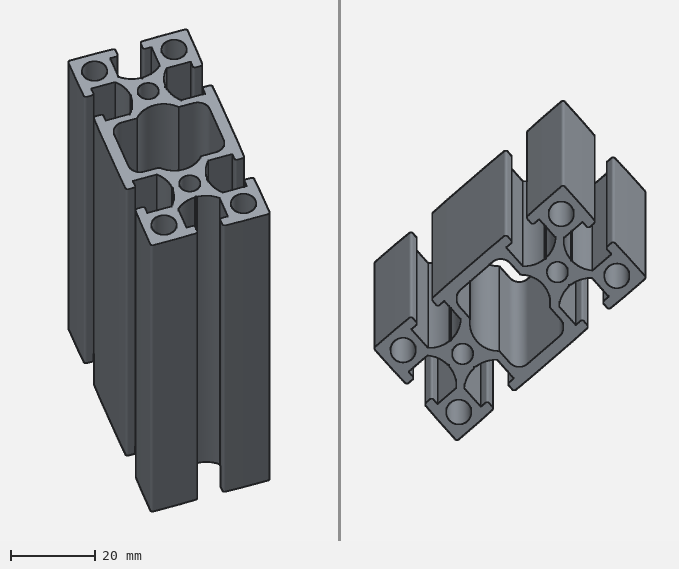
import cadquery as cq

WIDTH = 60.0
DEPTH = 30.0
LENGTH = 100.0
CORNER_RADIUS = 0.6

MOUTH_WIDTH = 6.3
LIP_THICKNESS = 2.5
LIP_OUTER_RADIUS = 0.6
LIP_INNER_RADIUS = 0.5
CHAMBER_WIDTH = 10.4
CHAMBER_WALL_DEPTH = 8.5
SLOT_DEPTH = 10.6

RELIEF_WIDTH = 16.3
RELIEF_DROP = 0.1

NOTCH_WIDTH = 0.6
NOTCH_DEPTH = 0.2

CAVITY_WIDTH = 16.0
CAVITY_HEIGHT = 24.0
CAVITY_RADIUS = 3.0
BOW_CHORD = 10.5
BOW_SPAN = 20.9

CORE_BORE = 5.0
CORNER_BORE = 6.0
CORNER_BORE_INSET = 5.0

CORE_X = (WIDTH - DEPTH) / 2


def lip_edges(y_min, y_max):
    """Selector for the lengthwise lip edges of an upright slot between two heights."""
    reach = MOUTH_WIDTH / 2 + LIP_OUTER_RADIUS
    return cq.selectors.BoxSelector((-reach, y_min, 0), (reach, y_max, LENGTH))


def make_slot():
    """Solid filling one T-slot, with the outer face at y = 0 and the floor below it."""
    mouth = MOUTH_WIDTH / 2
    chamber = CHAMBER_WIDTH / 2
    relief = RELIEF_WIDTH / 2
    notch = NOTCH_WIDTH / 2
    slot = (
        cq.Workplane("XY")
        .moveTo(-relief, 0)
        .lineTo(-mouth, -RELIEF_DROP)
        .lineTo(-mouth, -LIP_THICKNESS)
        .lineTo(-chamber, -LIP_THICKNESS)
        .lineTo(-chamber, -CHAMBER_WALL_DEPTH)
        .threePointArc((0, -SLOT_DEPTH), (chamber, -CHAMBER_WALL_DEPTH))
        .lineTo(chamber, -LIP_THICKNESS)
        .lineTo(mouth, -LIP_THICKNESS)
        .lineTo(mouth, -RELIEF_DROP)
        .lineTo(relief, 0)
        .lineTo(relief, LIP_THICKNESS)
        .lineTo(-relief, LIP_THICKNESS)
        .close()
        .extrude(LENGTH)
    )
    middle = -LIP_THICKNESS / 2
    slot = slot.edges("|Z").edges(lip_edges(middle, 0)).fillet(LIP_OUTER_RADIUS)
    slot = slot.edges("|Z").edges(lip_edges(-CHAMBER_WALL_DEPTH, middle)).fillet(LIP_INNER_RADIUS)
    floor_notch = (
        cq.Workplane("XY")
        .moveTo(-notch, NOTCH_DEPTH - SLOT_DEPTH)
        .lineTo(-notch, -SLOT_DEPTH)
        .lineTo(0, -SLOT_DEPTH - NOTCH_DEPTH)
        .lineTo(notch, -SLOT_DEPTH)
        .lineTo(notch, NOTCH_DEPTH - SLOT_DEPTH)
        .close()
        .extrude(LENGTH)
    )
    return slot.union(floor_notch)


def make_cavity():
    """Solid filling the central cavity: rounded rectangle plus the bowed pockets."""
    core = (
        cq.Workplane("XY")
        .rect(CAVITY_WIDTH, CAVITY_HEIGHT)
        .extrude(LENGTH)
        .edges("|Z")
        .fillet(CAVITY_RADIUS)
    )
    half_width = CAVITY_WIDTH / 2
    half_chord = BOW_CHORD / 2
    half_span = BOW_SPAN / 2
    bows = (
        cq.Workplane("XY")
        .moveTo(-half_width, -half_chord)
        .lineTo(half_width, -half_chord)
        .threePointArc((half_span, 0), (half_width, half_chord))
        .lineTo(-half_width, half_chord)
        .threePointArc((-half_span, 0), (-half_width, -half_chord))
        .close()
        .extrude(LENGTH)
    )
    return core.union(bows)


def make_bores(centers, diameter):
    """Full-length round bores at the given centres."""
    return cq.Workplane("XY").pushPoints(centers).circle(diameter / 2).extrude(LENGTH)


profile = (
    cq.Workplane("XY")
    .rect(WIDTH, DEPTH)
    .extrude(LENGTH)
    .edges("|Z")
    .fillet(CORNER_RADIUS)
)

slot_places = [(-90, WIDTH / 2, 0), (90, -WIDTH / 2, 0)]
for slot_x in (-CORE_X, CORE_X):
    slot_places += [(0, slot_x, DEPTH / 2), (180, slot_x, -DEPTH / 2)]

slot_solid = make_slot()
for turn, x, y in slot_places:
    profile = profile.cut(slot_solid.rotate((0, 0, 0), (0, 0, 1), turn).translate((x, y, 0)))

profile = profile.cut(make_cavity())

core_centers = [(-CORE_X, 0), (CORE_X, 0)]
profile = profile.cut(make_bores(core_centers, CORE_BORE))

bore_x = WIDTH / 2 - CORNER_BORE_INSET
bore_y = DEPTH / 2 - CORNER_BORE_INSET
corner_centers = [(x, y) for x in (-bore_x, bore_x) for y in (-bore_y, bore_y)]
profile = profile.cut(make_bores(corner_centers, CORNER_BORE))

result = profile